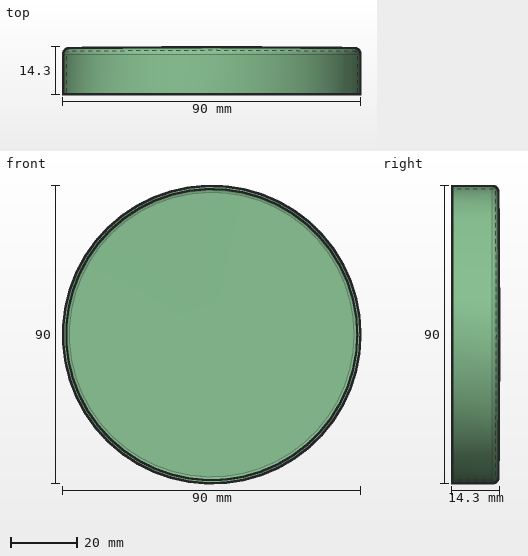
import cadquery as cq
import math

outer_radius = 45.0
overall_depth = 14.3
wall = 1.0
corner_radius = 2.0
crown_rise = 0.3

inner_radius = outer_radius - wall
inner_corner_radius = corner_radius - wall
face_radius = outer_radius - corner_radius

open_y = -overall_depth / 2
apex_y = overall_depth / 2
face_edge_y = apex_y - crown_rise
corner_y = face_edge_y - corner_radius


def corner_midpoint(radius):
    """Point halfway round a corner arc of the given radius."""
    offset = radius * math.sqrt(0.5)
    return (face_radius + offset, corner_y + offset)


section = (
    cq.Workplane("XY")
    .moveTo(0, apex_y)
    .lineTo(face_radius, face_edge_y)
    .threePointArc(corner_midpoint(corner_radius), (outer_radius, corner_y))
    .lineTo(outer_radius, open_y)
    .lineTo(inner_radius, open_y)
    .lineTo(inner_radius, corner_y)
    .threePointArc(corner_midpoint(inner_corner_radius), (face_radius, face_edge_y - wall))
    .lineTo(0, apex_y - wall)
    .close()
)

result = section.revolve(360, (0, 0, 0), (0, 1, 0))